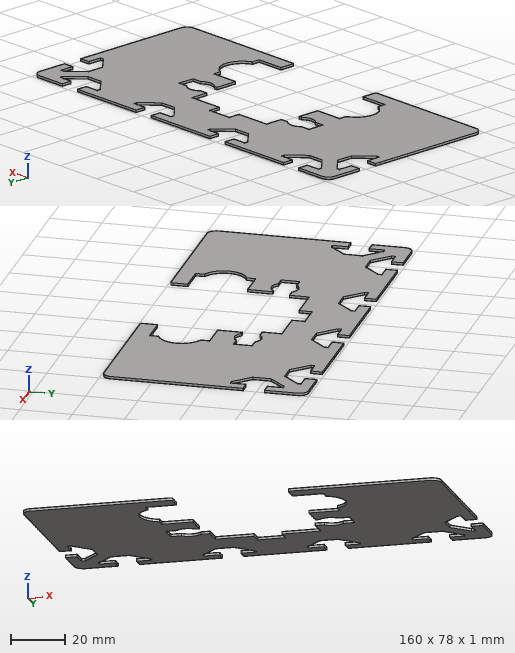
import cadquery as cq

length = 160.0
width = 78.0
thickness = length / 160
corner_radius = 3.5

top_slot_count = 4
slot_pitch = length / top_slot_count
slot_edge_distance = slot_pitch / 2
slot_mouth = 8.2
slot_lip = 4.5
slot_cavity = 20.0
slot_wall = 1.5
slot_floor = 7.0
slot_flank = (slot_cavity - slot_floor) / 2
slot_depth = slot_lip + slot_wall + slot_flank

mouth_half_width = 22.2
mouth_edge_radius = 0.6
pocket_half_width = 34.0
pocket_bottom = 6.5
pocket_top = 29.5
bulge_radius = 8.6
bulge_reach = 39.5
groove_half_width = 35.2
groove_bottom = 38.9
groove_top = 46.0
relief_radius = 5.1
relief_offset = 27.4
step_half_width = 20.2
step_top = 53.5
notch_half_width = 5.3
notch_top = 58.4


def centred_cut(half_width, bottom, top):
    """Rectangular cutter, symmetric about the Y axis."""
    height = top - bottom
    cutter = cq.Workplane("XY").box(2 * half_width, height, thickness, centered=(True, False, False))
    return cutter.translate((0, bottom, 0))


def round_cut(radius, x, y):
    """Round cutter through the plate."""
    return cq.Workplane("XY").center(x, y).circle(radius).extrude(thickness)


def t_slot(x, y, turn):
    """T-slot with its mouth at (x, y), cutting toward -Y before it is turned."""
    shoulder = -slot_lip - slot_wall
    half_profile = [
        (slot_mouth / 2, 0),
        (slot_mouth / 2, -slot_lip),
        (slot_cavity / 2, -slot_lip),
        (slot_cavity / 2, shoulder),
        (slot_floor / 2, -slot_depth),
    ]
    mirrored = [(-px, py) for px, py in reversed(half_profile)]
    cutter = cq.Workplane("XY").polyline(half_profile + mirrored).close().extrude(thickness)
    return cutter.rotate((0, 0, 0), (0, 0, 1), turn).translate((x, y, 0))


plate = cq.Workplane("XY").box(length, width, thickness, centered=(True, False, False))
plate = plate.cut(centred_cut(mouth_half_width, 0, groove_bottom))

plate = plate.edges("|Z").edges("<Y").edges("not (<X or >X)").fillet(mouth_edge_radius)
plate = plate.edges("|Z").edges("<X or >X").fillet(corner_radius)

plate = plate.cut(centred_cut(pocket_half_width, pocket_bottom, pocket_top))
plate = plate.cut(centred_cut(groove_half_width, groove_bottom, groove_top))
plate = plate.cut(centred_cut(step_half_width, groove_top, step_top))
plate = plate.cut(centred_cut(notch_half_width, step_top, notch_top))

bulge_offset = bulge_reach - bulge_radius
pocket_middle = (pocket_bottom + pocket_top) / 2
groove_middle = (groove_bottom + groove_top) / 2
for side in (-1, 1):
    plate = plate.cut(round_cut(bulge_radius, side * bulge_offset, pocket_middle))
    plate = plate.cut(round_cut(relief_radius, side * relief_offset, groove_middle))

for index in range(top_slot_count):
    slot_x = -length / 2 + slot_edge_distance + index * slot_pitch
    plate = plate.cut(t_slot(slot_x, width, 0))

end_slot_y = width - slot_edge_distance
plate = plate.cut(t_slot(-length / 2, end_slot_y, 90))
plate = plate.cut(t_slot(length / 2, end_slot_y, -90))

result = plate.translate((0, -width / 2, -thickness / 2))